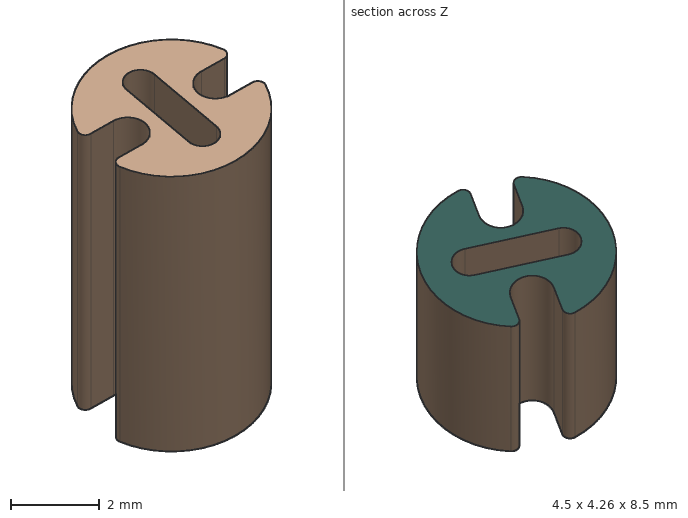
import cadquery as cq

length = 8.5
outer_diameter = 4.5
groove_width = 1.0
web_between_grooves = 1.55
lip_radius = 0.19
slot_length = 3.0
slot_width = 0.8

groove_radius = groove_width / 2
groove_floor_center = web_between_grooves / 2 + groove_radius


def make_groove(side):
    """Round-bottomed groove along Z, open towards +Y (side=1) or -Y (side=-1)."""
    depth = outer_diameter / 2
    floor = (
        cq.Workplane("XY")
        .center(0, side * groove_floor_center)
        .circle(groove_radius)
        .extrude(length)
    )
    channel = (
        cq.Workplane("XY")
        .center(0, side * (groove_floor_center + depth / 2))
        .rect(groove_width, depth)
        .extrude(length)
    )
    return floor.union(channel)


body = cq.Workplane("XY").circle(outer_diameter / 2).extrude(length)
for side in (1, -1):
    body = body.cut(make_groove(side))

lip_edges = body.edges("|Z and (>Y or <Y)")
body = lip_edges.fillet(lip_radius)

slot = cq.Workplane("XY").slot2D(slot_length, slot_width).extrude(length)
result = body.cut(slot)